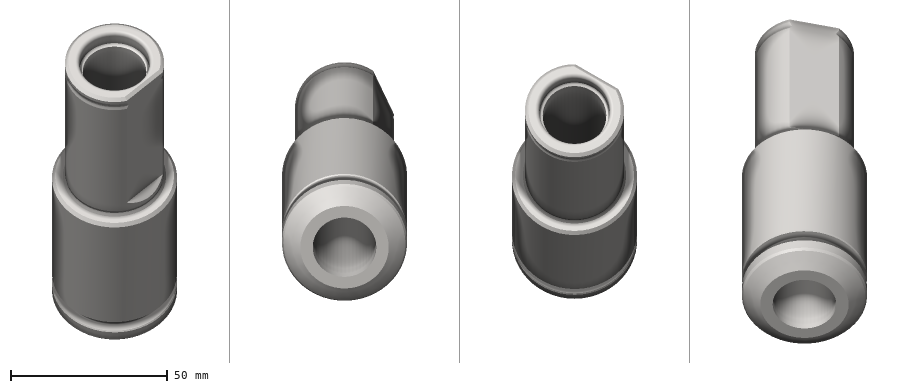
import cadquery as cq

total_height = 124.0
body_radius = 40.0 / 2
rod_radius = 31.7 / 2

base_radius = 14.1
foot_cone_height = 3.5
foot_bevel_radius = 19.5
foot_band_bottom = 4.3
foot_top = 8.3

body_groove_radius = 34.0 / 2
body_bottom = 12.9
groove_edge_chamfer = 0.4
groove_root_fillet = 0.4

shoulder_height = 64.0
shoulder_chamfer_width = 1.0
shoulder_chamfer_height = 1.1
neck_radius = 31.4 / 2
neck_foot_radius = 16.5
neck_root_bottom = 64.9
neck_root_top = 65.2
neck_top = 66.0

snap_groove_radius = 31.0 / 2
snap_groove_bottom = 118.9
snap_root_bottom = 120.0
snap_root_top = 120.5
snap_groove_top = 121.9
tip_chamfer_width = 1.1
tip_chamfer_height = 0.9

bore_radius = 20.3 / 2
counterbore_radius = 22.5 / 2
bore_mouth_radius = 25.0 / 2
counterbore_depth = 5.1
counterbore_seat_height = 0.5

flat_offset = 13.6
runout_bottom = 67.6


def turned_body():
    """Revolve the outer profile, given as (radius, height) points, about Z."""
    groove_rim = body_radius - groove_edge_chamfer
    profile = [
        (0, 0),
        (base_radius, 0),
        (foot_bevel_radius, foot_cone_height),
        (body_radius, foot_band_bottom),
        (body_radius, foot_top - groove_edge_chamfer),
        (groove_rim, foot_top),
        (body_groove_radius, foot_top),
        (body_groove_radius, body_bottom),
        (groove_rim, body_bottom),
        (body_radius, body_bottom + groove_edge_chamfer),
        (body_radius, shoulder_height - shoulder_chamfer_height),
        (body_radius - shoulder_chamfer_width, shoulder_height),
        (neck_foot_radius, shoulder_height),
        (neck_radius, neck_root_bottom),
        (neck_radius, neck_root_top),
        (rod_radius, neck_top),
        (rod_radius, snap_groove_bottom),
        (snap_groove_radius, snap_root_bottom),
        (snap_groove_radius, snap_root_top),
        (rod_radius, snap_groove_top),
        (rod_radius, total_height - tip_chamfer_height),
        (rod_radius - tip_chamfer_width, total_height),
        (0, total_height),
    ]
    turned = cq.Workplane("XZ").polyline(profile).close().revolve(360, (0, 0, 0), (0, 1, 0))
    groove_root_edges = cq.selectors.BoxSelector(
        (-body_radius, -body_radius, foot_top - groove_edge_chamfer / 2),
        (body_radius, body_radius, body_bottom + groove_edge_chamfer / 2),
        boundingbox=True,
    )
    groove_edges = turned.edges("%CIRCLE").edges(groove_root_edges)
    return groove_edges.edges(cq.selectors.RadiusNthSelector(0)).fillet(groove_root_fillet)


def bore():
    """Through bore with a counterbore and a conical seat and a rounded mouth."""
    counterbore_floor = total_height - counterbore_depth
    mouth_round = bore_mouth_radius - counterbore_radius
    diagonal = mouth_round * 0.5**0.5
    mouth_bottom = total_height - mouth_round
    return (
        cq.Workplane("XZ")
        .lineTo(bore_radius, 0)
        .lineTo(bore_radius, counterbore_floor - counterbore_seat_height)
        .lineTo(counterbore_radius, counterbore_floor)
        .lineTo(counterbore_radius, mouth_bottom)
        .threePointArc(
            (bore_mouth_radius - diagonal, mouth_bottom + diagonal),
            (bore_mouth_radius, total_height),
        )
        .lineTo(0, total_height)
        .close()
        .revolve(360, (0, 0, 0), (0, 1, 0))
    )


def side_flat():
    """Cutter for the flat: chamfered at the tip, with a 45 degree run-out at its lower end."""
    flat_depth = rod_radius - flat_offset
    profile = [
        (flat_offset - tip_chamfer_width, total_height),
        (flat_offset, total_height - tip_chamfer_height),
        (flat_offset, runout_bottom + flat_depth),
        (rod_radius, runout_bottom),
        (body_radius, runout_bottom),
        (body_radius, total_height),
    ]
    return cq.Workplane("XZ").polyline(profile).close().extrude(body_radius, both=True)


result = turned_body().cut(side_flat()).cut(bore())